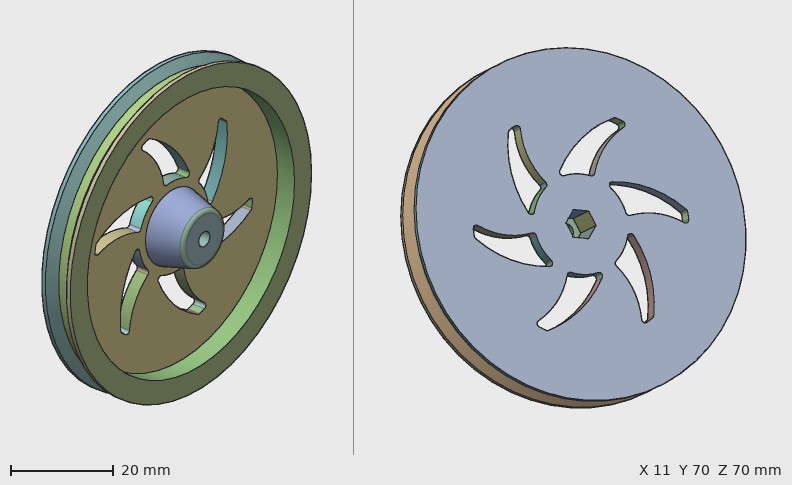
import cadquery as cq
import math

outer_radius = 35.0
groove_radius = 66.0 / 2
rim_width = 7.5
rim_land = 1.0
groove_floor_width = 2.1

web_thickness = 3.0
recess_radius = 30.0

hub_radius_at_rim = 7.0
hub_projection = 3.5
hub_taper = 15.0
hub_edge_fillet = 1.0

total_width = rim_width + hub_projection

bore_diameter = 3.2
hex_across_corners = 6.4
hex_depth = rim_width

window_count = 6
window_inner_radius = 10.0
window_outer_radius = 23.0
window_corner_fillet = 0.7
convex_side = (16.1, 175.3, 22.4)
concave_side = (19.5, 157.0, 15.3)


def make_wheel():
    """Revolved rim and hub; profile x is along the axis, y is the radius."""
    taper_slope = math.tan(math.radians(hub_taper))
    hub_tip_radius = hub_radius_at_rim - hub_projection * taper_slope
    hub_base_radius = hub_radius_at_rim + (rim_width - web_thickness) * taper_slope
    groove_start = (rim_width - groove_floor_width) / 2
    groove_end = groove_start + groove_floor_width
    profile = [
        (0, 0),
        (0, outer_radius),
        (rim_land, outer_radius),
        (groove_start, groove_radius),
        (groove_end, groove_radius),
        (rim_width - rim_land, outer_radius),
        (rim_width, outer_radius),
        (rim_width, recess_radius),
        (web_thickness, recess_radius),
        (web_thickness, hub_base_radius),
        (total_width, hub_tip_radius),
        (total_width, 0),
    ]
    wheel = cq.Workplane("XY").polyline(profile).close().revolve(360, (0, 0, 0), (1, 0, 0))
    return wheel.faces(">X").edges().fillet(hub_edge_fillet)


def point_on_side(side, radius):
    """Point of a curved window side at the given distance from the wheel axis."""
    centre_distance, centre_angle, side_radius = side
    cosine = (radius**2 + centre_distance**2 - side_radius**2) / (2 * radius * centre_distance)
    angle = math.radians(centre_angle) - math.acos(cosine)
    return radius * math.cos(angle), radius * math.sin(angle)


def middle_of_arc(start, end, radius):
    """Point halfway between two points along an arc about the wheel axis."""
    angle = (math.atan2(start[1], start[0]) + math.atan2(end[1], end[0])) / 2
    return radius * math.cos(angle), radius * math.sin(angle)


def make_window():
    """Cutter for one window, bounded by two curved sides and two arcs about the axis."""
    middle_radius = (window_inner_radius + window_outer_radius) / 2
    convex_inner = point_on_side(convex_side, window_inner_radius)
    convex_outer = point_on_side(convex_side, window_outer_radius)
    concave_inner = point_on_side(concave_side, window_inner_radius)
    concave_outer = point_on_side(concave_side, window_outer_radius)
    return (
        cq.Workplane("YZ")
        .moveTo(*convex_inner)
        .threePointArc(point_on_side(convex_side, middle_radius), convex_outer)
        .threePointArc(middle_of_arc(convex_outer, concave_outer, window_outer_radius), concave_outer)
        .threePointArc(point_on_side(concave_side, middle_radius), concave_inner)
        .threePointArc(middle_of_arc(concave_inner, convex_inner, window_inner_radius), convex_inner)
        .close()
        .extrude(web_thickness)
        .edges("|X")
        .fillet(window_corner_fillet)
    )


result = make_wheel()

window = make_window()
for index in range(window_count):
    result = result.cut(window.rotate((0, 0, 0), (1, 0, 0), index * 360 / window_count))

bore = cq.Workplane("YZ").circle(bore_diameter / 2).extrude(total_width)
nut_pocket = cq.Workplane("YZ").polygon(6, hex_across_corners).extrude(hex_depth)
result = result.cut(bore).cut(nut_pocket)